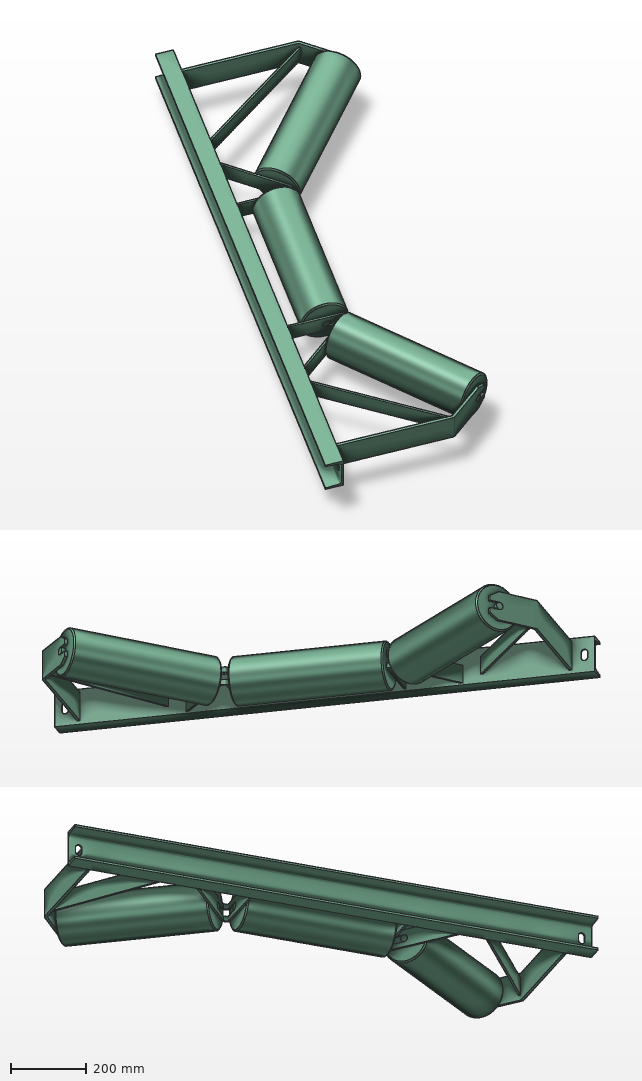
import cadquery as cq
import math


channel_length = 1500
channel_height = 100
channel_depth = 50
web_thickness = 5
flange_root_thickness = 9
flange_tip_thickness = 6
channel_root_radius = 8
mount_slot_inset = 29
mount_slot_length = 32
mount_slot_width = 18

drum_length = 430
drum_diameter = 133
drum_edge_chamfer = 4
shaft_diameter = 20
shaft_slot_clearance = 1
shaft_slot_width = shaft_diameter + shaft_slot_clearance
trough_angle = 40
tilt_angle = 2.585
centre_axis_y = 168
side_outer_x = -601
side_outer_y = 463.35
side_outer_z = -0.5

bracket_width = 80
outer_thickness = 8
post_face_x = -687
arm_bend_y = 380
arm_tip_y = 495
outer_bend_radius = 12
arm_tip_chamfer = 15.6
arm_chamfer_angle = 30
outer_slot_reach = 2 * outer_thickness

inner_thickness = 6
inner_leg_face_x = -220
inner_top_y = 220
inner_flat_length = 22
inner_width = 50
inner_bend_radius = 8
inner_slot_reach = 1.5 * inner_thickness

brace_thickness = 6
brace_width = 50
brace_foot_x = -433
brace_top_y = 388

trough = math.radians(trough_angle)
tilt = math.radians(tilt_angle)
side_axis = cq.Vector(
    math.cos(trough) * math.cos(tilt),
    -math.sin(trough) * math.cos(tilt),
    -math.sin(tilt),
)
side_outer_end = cq.Vector(side_outer_x, side_outer_y, side_outer_z)
side_inner_end = side_outer_end + side_axis * drum_length
centre_axis_z = side_inner_end.z
centre_end = cq.Vector(-drum_length / 2, centre_axis_y, centre_axis_z)

x_direction = cq.Vector(1, 0, 0)
y_direction = cq.Vector(0, 1, 0)

plate_up = cq.Vector(math.sin(trough), math.cos(trough), 0)
plate_normal = cq.Vector(math.cos(trough), -math.sin(trough), 0)


def mirrored(body):
    return body.mirror("YZ")


def plate_from_outline(points, width, mid_z=0):
    plane = cq.Workplane("XY", origin=(0, 0, mid_z))
    return plane.polyline(points).close().extrude(width / 2, both=True)


def make_channel():
    half = channel_height / 2
    web_front = channel_depth - web_thickness
    profile = [
        (0, half),
        (channel_depth, half),
        (channel_depth, -half),
        (0, -half),
        (0, flange_tip_thickness - half),
        (web_front, flange_root_thickness - half),
        (web_front, half - flange_root_thickness),
        (0, half - flange_tip_thickness),
    ]
    channel = cq.Workplane("YZ").polyline(profile).close().extrude(channel_length / 2, both=True)
    for root_z in (flange_root_thickness - half, half - flange_root_thickness):
        root = cq.selectors.NearestToPointSelector((0, web_front, root_z))
        channel = channel.edges("|X").edges(root).fillet(channel_root_radius)
    slot_x = channel_length / 2 - mount_slot_inset
    slots = (
        cq.Workplane("XZ")
        .pushPoints([(-slot_x, 0), (slot_x, 0)])
        .slot2D(mount_slot_length, mount_slot_width, 90)
        .extrude(-channel_depth)
    )
    return channel.cut(slots)


def shaft_slot(axis_point, up, normal, reach, length):
    """Slot along `up`, rounded under the shaft, reaching both ways through a plate at axis_point."""
    plane = cq.Plane(origin=axis_point.toTuple(), xDir=up.toTuple(), normal=normal.toTuple())
    half = shaft_slot_width / 2
    return (
        cq.Workplane(plane)
        .moveTo(length, -half)
        .lineTo(0, -half)
        .threePointArc((-half, 0), (0, half))
        .lineTo(length, half)
        .close()
        .extrude(reach, both=True)
    )


def axis_point_at_plate(plate_point):
    """Point where the side roller axis crosses a face at the trough angle through plate_point."""
    distance = (plate_point - side_outer_end).dot(plate_normal) / side_axis.dot(plate_normal)
    return side_outer_end + side_axis * distance


arm_outer_start = cq.Vector(post_face_x, arm_bend_y, 0)
arm_length = (arm_tip_y - arm_bend_y) / plate_up.y
arm_outer_tip = arm_outer_start + plate_up * arm_length
arm_inner_tip = arm_outer_tip + plate_normal * outer_thickness
post_inner_x = post_face_x + outer_thickness
bend_inner_y = arm_bend_y - outer_thickness * math.tan(trough / 2)
arm_shaft_point = axis_point_at_plate(arm_outer_start)


def make_outer_bracket():
    bracket = plate_from_outline(
        [
            (post_face_x, channel_depth),
            (post_face_x, arm_bend_y),
            (arm_outer_tip.x, arm_outer_tip.y),
            (arm_inner_tip.x, arm_inner_tip.y),
            (post_inner_x, bend_inner_y),
            (post_inner_x, channel_depth),
        ],
        bracket_width,
    )
    bend_edge = cq.selectors.NearestToPointSelector((post_face_x, arm_bend_y, 0))
    bracket = bracket.edges("|Z").edges(bend_edge).fillet(outer_bend_radius)
    bend_edge = cq.selectors.NearestToPointSelector((post_inner_x, bend_inner_y, 0))
    bracket = bracket.edges("|Z").edges(bend_edge).fillet(outer_bend_radius - outer_thickness)

    arm_plane = cq.Plane(
        origin=arm_outer_tip.toTuple(), xDir=plate_up.toTuple(), normal=plate_normal.toTuple()
    )
    chamfer_run = arm_tip_chamfer / math.tan(math.radians(arm_chamfer_angle))
    half = bracket_width / 2
    for side in (-1, 1):
        corner = (
            cq.Workplane(arm_plane)
            .moveTo(0, side * half)
            .lineTo(-chamfer_run, side * half)
            .lineTo(0, side * (half - arm_tip_chamfer))
            .close()
            .extrude(outer_thickness)
        )
        bracket = bracket.cut(corner)
    return bracket.cut(
        shaft_slot(arm_shaft_point, plate_up, plate_normal, outer_slot_reach, arm_length)
    )


inner_leg_back_x = inner_leg_face_x - inner_thickness
slope_top_x = inner_leg_face_x - inner_flat_length
slope_top = cq.Vector(slope_top_x, inner_top_y, 0)
slope_foot_x = slope_top_x - (inner_top_y - channel_depth) * math.tan(trough)
slope_foot_width = inner_thickness / math.cos(trough)
slope_under_y = inner_top_y - inner_thickness
slope_under_x = slope_top_x + slope_foot_width - inner_thickness * math.tan(trough)
slope_shaft_point = axis_point_at_plate(slope_top + plate_normal * inner_thickness)


def make_inner_bracket():
    bracket = plate_from_outline(
        [
            (slope_foot_x, channel_depth),
            (slope_top_x, inner_top_y),
            (inner_leg_face_x, inner_top_y),
            (inner_leg_face_x, channel_depth),
            (inner_leg_back_x, channel_depth),
            (inner_leg_back_x, slope_under_y),
            (slope_under_x, slope_under_y),
            (slope_foot_x + slope_foot_width, channel_depth),
        ],
        inner_width,
        centre_axis_z,
    )
    outer_bend = cq.selectors.NearestToPointSelector((inner_leg_face_x, inner_top_y, centre_axis_z))
    bracket = bracket.edges("|Z").edges(outer_bend).fillet(inner_bend_radius)
    inner_bend = cq.selectors.NearestToPointSelector((inner_leg_back_x, slope_under_y, centre_axis_z))
    bracket = bracket.edges("|Z").edges(inner_bend).fillet(inner_bend_radius - inner_thickness)
    centre_point = cq.Vector(inner_leg_face_x, centre_axis_y, centre_axis_z)
    centre_slot = shaft_slot(centre_point, y_direction, x_direction, inner_slot_reach, inner_top_y)
    side_slot = shaft_slot(slope_shaft_point, plate_up, plate_normal, inner_slot_reach, inner_top_y)
    return bracket.cut(centre_slot).cut(side_slot)


def make_brace():
    rise = brace_top_y - channel_depth
    run = brace_foot_x - post_inner_x
    foot_width = brace_thickness * math.hypot(rise, run) / rise
    drop = foot_width * rise / run
    return plate_from_outline(
        [
            (post_inner_x, brace_top_y),
            (brace_foot_x, channel_depth),
            (brace_foot_x - foot_width, channel_depth),
            (post_inner_x, brace_top_y - drop),
        ],
        brace_width,
    )


def make_frame():
    left_parts = make_outer_bracket().union(make_inner_bracket()).union(make_brace())
    return make_channel().union(left_parts).union(mirrored(left_parts))


def roller_plane(start, axis):
    return cq.Plane(origin=start.toTuple(), xDir=(0, 0, 1), normal=axis.toTuple())


def make_drum(start, axis):
    drum = cq.Workplane(roller_plane(start, axis)).circle(drum_diameter / 2).extrude(drum_length)
    drum = drum.edges().chamfer(drum_edge_chamfer)
    bore = cq.Workplane(roller_plane(start, axis)).circle(shaft_diameter / 2).extrude(drum_length)
    return drum.cut(bore)


def make_shaft(start, end):
    span = end - start
    return cq.Workplane(roller_plane(start, span)).circle(shaft_diameter / 2).extrude(span.Length)


frame = make_frame()

centre_shaft_start = cq.Vector(inner_leg_back_x, centre_axis_y, centre_axis_z)
centre_shaft_end = cq.Vector(-inner_leg_back_x, centre_axis_y, centre_axis_z)
drums = [make_drum(centre_end, x_direction)]
shafts = [make_shaft(centre_shaft_start, centre_shaft_end)]

left_drum = make_drum(side_outer_end, side_axis)
left_shaft = make_shaft(arm_shaft_point, slope_shaft_point)
drums += [left_drum, mirrored(left_drum)]
shafts += [left_shaft, mirrored(left_shaft)]

result = cq.Compound.makeCompound([body.val() for body in [frame, *drums, *shafts]])